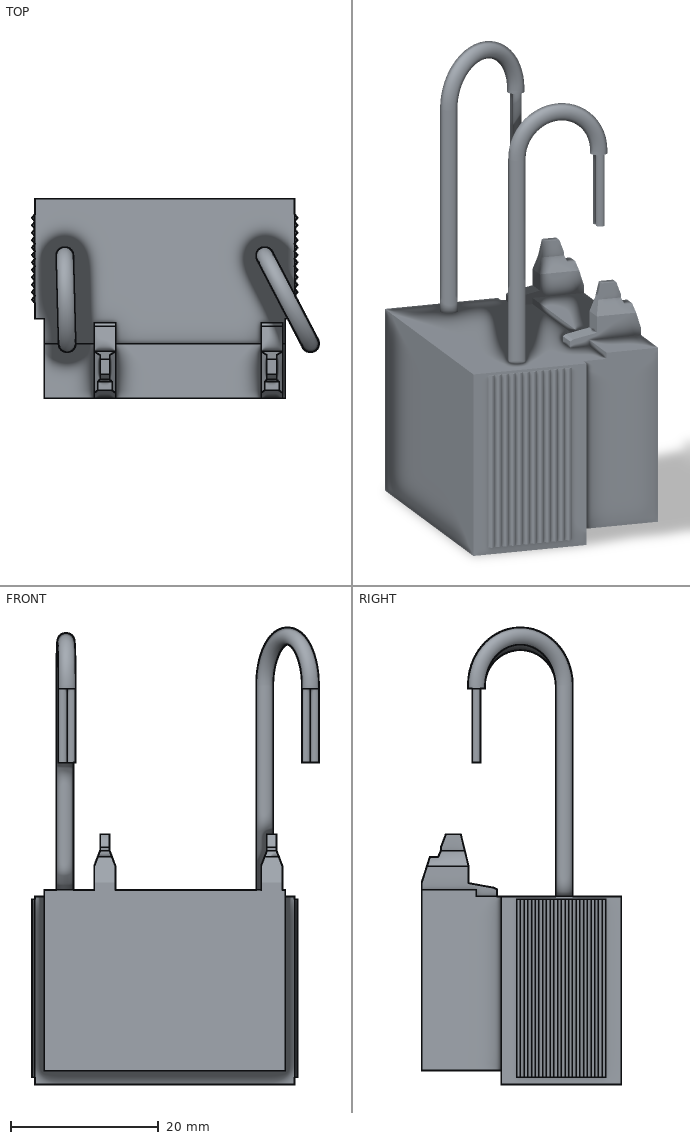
import cadquery as cq
import math


total_depth = 27.0
body_width = 35.1
body_depth = 16.25
body_height = 25.5
block_width = 32.65
block_depth = total_depth - body_depth
block_floor = 1.9
strip_rise = 0.85
strip_depth = 7.4

rib_count = 12
rib_row_depth = 12.05
rib_pitch = rib_row_depth / rib_count
rib_height = 0.4
rib_top_gap = 0.4
rib_bottom_gap = 1.0

cable_radius = 1.2
riser_spacing = 27.0
riser_y = 19.3
bend_base_z = 53.95
tip_reach = 11.9
left_tip_shift = 0.3
right_tip_shift = 6.2
sleeve_length = 0.45
wire_offset = cable_radius / 2
wire_radius = 0.58
wire_length = 10.0

clip_centers = (-8.1, 14.45)
clip_width = 2.9
tip_width = 1.3
clip_back_y = 6.35
clip_front_z = 1.85
shoulder_z = 4.1
ledge_z = 5.3
tip_base_z = 6.2
tip_root_z = 6.6
tip_top_z = 8.4
clip_side_profile = [
    (0, 0),
    (0, clip_front_z),
    (1.1, ledge_z),
    (2.2, ledge_z),
    (2.6, tip_base_z),
    (2.6, tip_root_z),
    (3.3, tip_top_z),
    (5.3, tip_top_z),
    (clip_back_y, shoulder_z),
    (clip_back_y, 1.8),
    (9.75, 1.2),
    (10.2, 0.9),
    (10.2, 0),
]


def block(width, y_start, depth, z_start, z_end):
    """A box centred on X = 0."""
    size_z = z_end - z_start
    box = cq.Workplane("XY").box(width, depth, size_z, centered=(True, False, False))
    return box.translate((0, y_start, z_start))


def make_case():
    body = block(body_width, block_depth, body_depth, 0, body_height)
    front = block(block_width, 0, block_depth, block_floor, body_height)
    strip = block(block_width, 0, strip_depth, block_floor, body_height + strip_rise)
    return body.union(front).union(strip)


def make_ribs(side):
    """The row of ridges on one end of the body; side is -1 (left) or 1 (right)."""
    wall_x = side * body_width / 2
    first_y = block_depth + (body_depth - rib_row_depth) / 2
    outline = [(wall_x, first_y)]
    for index in range(rib_count):
        valley_y = first_y + index * rib_pitch
        outline.append((wall_x + side * rib_height, valley_y + rib_pitch / 2))
        outline.append((wall_x, valley_y + rib_pitch))
    anchor_x = wall_x - side * rib_height
    outline.append((anchor_x, first_y + rib_row_depth))
    outline.append((anchor_x, first_y))
    length = body_height - rib_top_gap - rib_bottom_gap
    return cq.Workplane("XY", origin=(0, 0, rib_bottom_gap)).polyline(outline).close().extrude(length)


def make_cable(riser_x, tip_shift):
    """A cable hooked forward from riser_x, its tip shifted sideways by tip_shift."""
    tip_x = riser_x + tip_shift
    tip_y = riser_y - tip_reach
    bend_radius = math.hypot(tip_shift, tip_reach) / 2
    riser_foot = (riser_x, riser_y, body_height)
    bend_start = (riser_x, riser_y, bend_base_z)
    bend_top = (riser_x + tip_shift / 2, riser_y - tip_reach / 2, bend_base_z + bend_radius)
    bend_end = (tip_x, tip_y, bend_base_z)
    riser = cq.Workplane("XY", origin=riser_foot).circle(cable_radius).extrude(bend_base_z - body_height)
    bend_path = cq.Workplane("XY").add(
        cq.Edge.makeThreePointArc(cq.Vector(bend_start), cq.Vector(bend_top), cq.Vector(bend_end))
    )
    bend = cq.Workplane("XY", origin=bend_start).circle(cable_radius).sweep(bend_path.toPending())
    sleeve = cq.Workplane("XY", origin=bend_end).circle(cable_radius).extrude(-sleeve_length)
    wires = (
        cq.Workplane("XY", origin=(tip_x, tip_y, bend_base_z - sleeve_length))
        .pushPoints([(-wire_offset, 0), (wire_offset, 0)])
        .circle(wire_radius)
        .extrude(-wire_length)
    )
    return riser.union(bend).union(sleeve).union(wires)


def make_clip(center_x):
    """A clip standing on the case top: its side profile trimmed by its front outline."""
    half_width = clip_width / 2
    half_tip = tip_width / 2
    front_outline = [
        (-half_width, 0),
        (-half_width, shoulder_z),
        (-half_tip, tip_base_z),
        (-half_tip, tip_top_z),
        (half_tip, tip_top_z),
        (half_tip, tip_base_z),
        (half_width, shoulder_z),
        (half_width, 0),
    ]
    side_body = cq.Workplane("YZ").polyline(clip_side_profile).close().extrude(half_width, both=True)
    front_body = cq.Workplane("XZ").polyline(front_outline).close().extrude(-total_depth)
    return side_body.intersect(front_body).translate((center_x, 0, body_height))


result = make_case()
for side in (-1, 1):
    result = result.union(make_ribs(side))
for center_x in clip_centers:
    result = result.union(make_clip(center_x))
result = result.union(make_cable(-riser_spacing / 2, left_tip_shift))
result = result.union(make_cable(riser_spacing / 2, right_tip_shift))